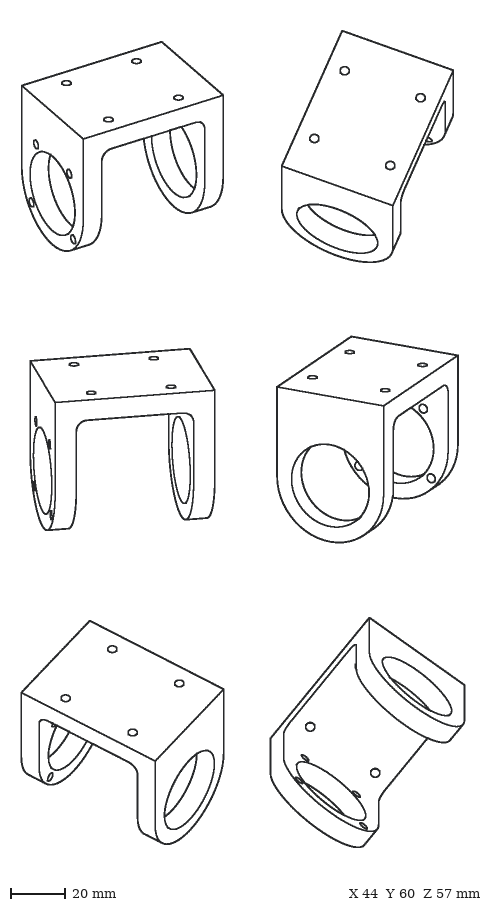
import cadquery as cq
import math

length = 60.0
width = 44.0
wall = 8.0
inner_fillet = 4.0
end_radius = width / 2

bore_diameter = 32.0
bore_z = -35.0

screw_diameter = 3.35
plate_hole_spacing = 30.0
leg_hole_circle_radius = 19.0
leg_hole_angles = (51, 128, 218, 321)


def cylinder_along_y(x, z, diameter, start_y, depth):
    """Solid cylinder running from start_y toward +Y."""
    axis_start = cq.Vector(x, start_y, z)
    return cq.Workplane(cq.Solid.makeCylinder(diameter / 2, depth, axis_start, cq.Vector(0, 1, 0)))


def make_end_profile():
    """Plate and leg outline in the XZ plane, extruded over the full length."""
    return (
        cq.Workplane("XZ", origin=(0, length / 2, 0))
        .moveTo(-width / 2, 0)
        .lineTo(width / 2, 0)
        .lineTo(width / 2, bore_z)
        .threePointArc((0, bore_z - end_radius), (-width / 2, bore_z))
        .close()
        .extrude(length)
    )


def make_gap():
    """Space between the legs, with rounded upper corners."""
    gap_height = end_radius - bore_z
    return (
        cq.Workplane("XY")
        .box(width, length - 2 * wall, gap_height, centered=(True, True, False))
        .translate((0, 0, -wall - gap_height))
        .edges("|X and >Z")
        .fillet(inner_fillet)
    )


bracket = make_end_profile().cut(make_gap())
bracket = bracket.cut(cylinder_along_y(0, bore_z, bore_diameter, -length / 2, length))

plate_holes = (
    cq.Workplane("XY")
    .rect(plate_hole_spacing, plate_hole_spacing, forConstruction=True)
    .vertices()
    .circle(screw_diameter / 2)
    .extrude(-wall)
)
bracket = bracket.cut(plate_holes)

for angle in leg_hole_angles:
    hole_x = leg_hole_circle_radius * math.cos(math.radians(angle))
    hole_z = bore_z + leg_hole_circle_radius * math.sin(math.radians(angle))
    bracket = bracket.cut(cylinder_along_y(hole_x, hole_z, screw_diameter, -length / 2, wall))

result = bracket